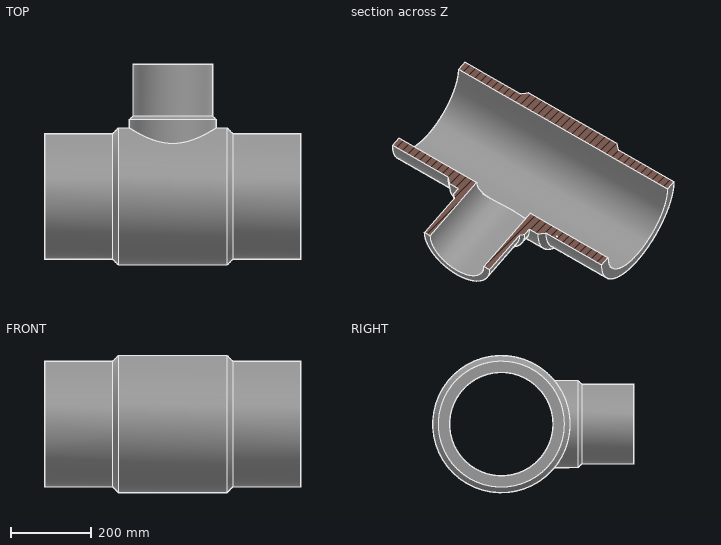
import cadquery as cq

main_length = 640.0
main_diameter = 315.0
main_bore = 257.8

collar_length = 300.0
collar_diameter = 343.6

branch_reach = 331.0
branch_diameter = 200.0
branch_bore = 163.6

sleeve_reach = 201.0
sleeve_diameter = 218.2

collar_bevel = (collar_diameter - main_diameter) / 2
sleeve_bevel = (sleeve_diameter - branch_diameter) / 2


def main_cylinder(diameter, length):
    """Cylinder along X, centred on the origin."""
    return cq.Workplane("YZ").circle(diameter / 2).extrude(length / 2, both=True)


def branch_cylinder(diameter, reach):
    """Cylinder along +Y, starting on the main axis."""
    return cq.Workplane("XZ").circle(diameter / 2).extrude(-reach)


def main_body():
    collar = main_cylinder(collar_diameter, collar_length).edges().chamfer(collar_bevel)
    return main_cylinder(main_diameter, main_length).union(collar)


def branch_body():
    sleeve = branch_cylinder(sleeve_diameter, sleeve_reach).faces(">Y").chamfer(sleeve_bevel)
    return branch_cylinder(branch_diameter, branch_reach).union(sleeve)


result = (
    main_body()
    .union(branch_body())
    .cut(main_cylinder(main_bore, main_length))
    .cut(branch_cylinder(branch_bore, branch_reach))
)